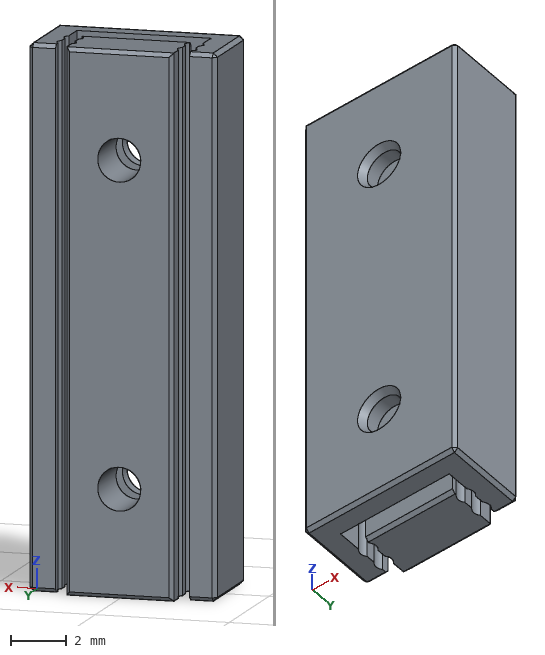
import cadquery as cq

LENGTH = 20.0
EDGE_CHAMFER = 0.15

RAIL_WIDTH = 7.0
RAIL_HEIGHT = 3.6
FLOOR_THICKNESS = 0.9
CHANNEL_WIDTH = 5.0

CARRIAGE_WIDTH = 4.0
CARRIAGE_BOTTOM = 1.7
CARRIAGE_TOP = 4.0

RACEWAY_UPPER = 3.05
RACEWAY_SPACING = 0.88
RACEWAY_DIAMETER = 0.7

HOLE_DIAMETER = 1.6
HOLE_SPACING = 12.0
COUNTERSINK_DIAMETER = 1.98
COUNTERSINK_DEPTH = 0.32

raceway_x = (CHANNEL_WIDTH + CARRIAGE_WIDTH) / 4
raceway_heights = [RACEWAY_UPPER, RACEWAY_UPPER - RACEWAY_SPACING]
hole_heights = [(LENGTH - HOLE_SPACING) / 2, (LENGTH + HOLE_SPACING) / 2]


def bar(width, bottom, top):
    """Full-length rectangular bar centred on X, from y = bottom to y = top."""
    block = cq.Workplane("XY").box(width, top - bottom, LENGTH, centered=(True, False, False))
    return block.translate((0, bottom, 0))


def raceways():
    """Full-length cylinders, two in each gap, that leave the raceway grooves."""
    centres = [(side * raceway_x, y) for side in (-1, 1) for y in raceway_heights]
    return cq.Workplane("XY").pushPoints(centres).circle(RACEWAY_DIAMETER / 2).extrude(LENGTH)


def mounting_holes():
    """Two cylinders along Y, long enough to pass through both bodies."""
    centres = [(0, z) for z in hole_heights]
    return cq.Workplane("XZ").pushPoints(centres).circle(HOLE_DIAMETER / 2).extrude(-CARRIAGE_TOP)


def countersink(z):
    """Cone on the outer face of the rail floor, narrowing to the mounting hole at height z."""
    rim = cq.Workplane("XZ", origin=(0, 0, z)).circle(COUNTERSINK_DIAMETER / 2)
    return rim.workplane(offset=-COUNTERSINK_DEPTH).circle(HOLE_DIAMETER / 2).loft()


def make_rail():
    """Chamfered block with the channel, raceway grooves and countersunk holes cut into it."""
    block = bar(RAIL_WIDTH, 0, RAIL_HEIGHT).edges().chamfer(EDGE_CHAMFER)
    channel = bar(CHANNEL_WIDTH, FLOOR_THICKNESS, RAIL_HEIGHT)
    body = block.cut(channel).cut(raceways()).cut(mounting_holes())
    for z in hole_heights:
        body = body.cut(countersink(z))
    return body


def make_carriage():
    """Bar chamfered along its outer long edges and across both ends."""
    block = bar(CARRIAGE_WIDTH, CARRIAGE_BOTTOM, CARRIAGE_TOP)
    block = block.edges("|X or (|Z and >Y)").chamfer(EDGE_CHAMFER)
    return block.cut(raceways()).cut(mounting_holes())


rail = make_rail()
carriage = make_carriage()

result = cq.Compound.makeCompound([rail.val(), carriage.val()])